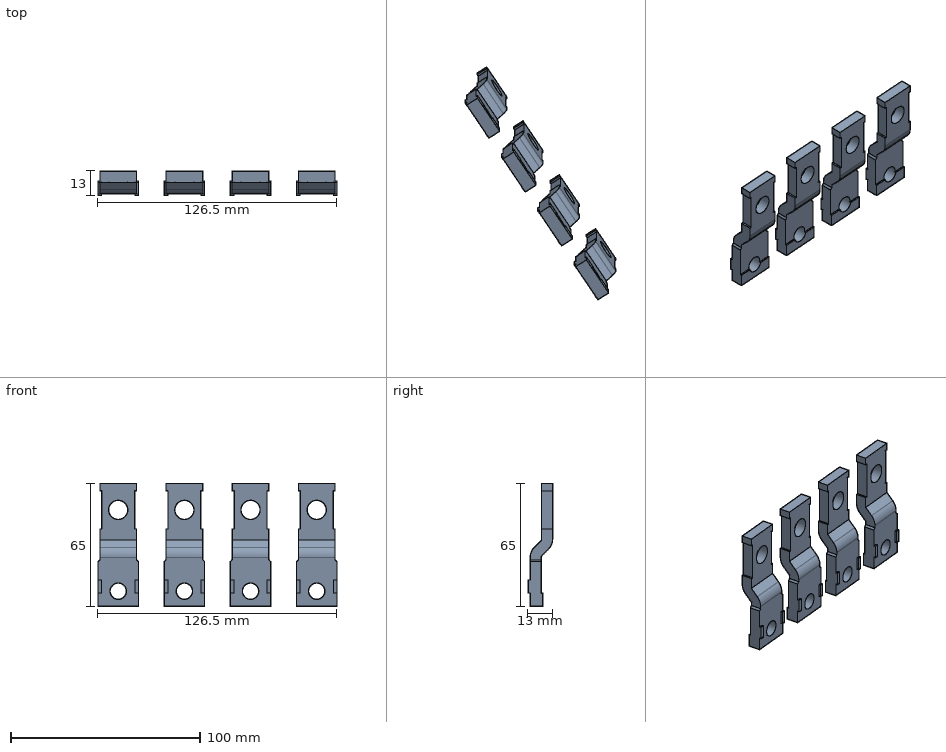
import cadquery as cq
import math

bar_count = 4
bar_pitch = 35.0

thickness = 6.0
bar_length = 65.0
tab_projection = 1.0
front_y = tab_projection
middle_y = front_y + thickness
back_y = middle_y + thickness

upper_corner_z = 35.0
bend_angle = math.radians(45)
bend_radius = 7.5
lower_corner_z = upper_corner_z - thickness / math.cos(bend_angle)

base_width = 21.5
bar_width = 19.5
neck_width = 17.5
shoulder_top_z = 24.6
shoulder_chamfer = (base_width - bar_width) / 2
shoulder_bottom_z = shoulder_top_z - shoulder_chamfer
neck_bottom_z = 41.0
head_height = 4.0
neck_top_z = bar_length - head_height

lower_hole_diameter = 8.5
lower_hole_z = 8.0
upper_hole_diameter = 10.0
upper_hole_z = 51.0

tab_width = 2.0
tab_bottom_z = 7.0
tab_top_z = 14.0
foot_height = 7.0
foot_projection = 0.8


def bent_strip():
    """Offset side profile extruded across the full base width."""
    tangent_length = bend_radius * math.tan(bend_angle / 2)
    along_y = tangent_length * math.sin(bend_angle)
    along_z = tangent_length * math.cos(bend_angle)
    arc_y = bend_radius * (1 - math.cos(bend_angle / 2))
    arc_z = bend_radius * math.sin(bend_angle / 2)
    front_meet_z = upper_corner_z - thickness / math.tan(bend_angle)
    back_meet_z = lower_corner_z + thickness / math.tan(bend_angle)
    front_arc_start_z = front_meet_z - tangent_length
    back_arc_start_z = back_meet_z + tangent_length
    return (
        cq.Workplane("YZ")
        .moveTo(front_y, 0)
        .lineTo(front_y, front_arc_start_z)
        .threePointArc(
            (front_y + arc_y, front_arc_start_z + arc_z),
            (front_y + along_y, front_meet_z + along_z),
        )
        .lineTo(middle_y, upper_corner_z)
        .lineTo(middle_y, bar_length)
        .lineTo(back_y, bar_length)
        .lineTo(back_y, back_arc_start_z)
        .threePointArc(
            (back_y - arc_y, back_arc_start_z - arc_z),
            (back_y - along_y, back_meet_z - along_z),
        )
        .lineTo(middle_y, lower_corner_z)
        .lineTo(middle_y, 0)
        .close()
        .extrude(base_width / 2, both=True)
    )


def width_outline():
    """Stepped front outline, extruded through the full depth of the bend."""
    right_side = [
        (base_width / 2, 0),
        (base_width / 2, shoulder_bottom_z),
        (bar_width / 2, shoulder_top_z),
        (bar_width / 2, neck_bottom_z),
        (neck_width / 2, neck_bottom_z),
        (neck_width / 2, neck_top_z),
        (bar_width / 2, neck_top_z),
        (bar_width / 2, bar_length),
    ]
    left_side = [(-x, z) for x, z in reversed(right_side)]
    return cq.Workplane("XZ").polyline(right_side + left_side).close().extrude(-back_y)


def bolt_hole(diameter, z):
    """Cutter along Y through the full depth of the bar."""
    return cq.Workplane("XZ").center(0, z).circle(diameter / 2).extrude(-(back_y + foot_projection))


def front_tabs():
    """Pair of tabs flush with the sides of the base."""
    return (
        cq.Workplane("XZ")
        .pushPoints([
            (side * (base_width - tab_width) / 2, (tab_bottom_z + tab_top_z) / 2)
            for side in (-1, 1)
        ])
        .rect(tab_width, tab_top_z - tab_bottom_z)
        .extrude(-middle_y)
    )


def back_foot():
    """Thickened lower end, standing out behind the lower leg."""
    return (
        cq.Workplane("XY")
        .box(base_width, thickness + foot_projection, foot_height, centered=(True, False, False))
        .translate((0, front_y, 0))
    )


def terminal_bar():
    """One complete bar, centred on X = 0."""
    return (
        bent_strip()
        .intersect(width_outline())
        .union(front_tabs())
        .union(back_foot())
        .cut(bolt_hole(lower_hole_diameter, lower_hole_z))
        .cut(bolt_hole(upper_hole_diameter, upper_hole_z))
    )


first_bar_x = -(bar_count - 1) * bar_pitch / 2
bars = [
    terminal_bar().translate((first_bar_x + index * bar_pitch, 0, 0))
    for index in range(bar_count)
]

result = cq.Compound.makeCompound([bar.val() for bar in bars])